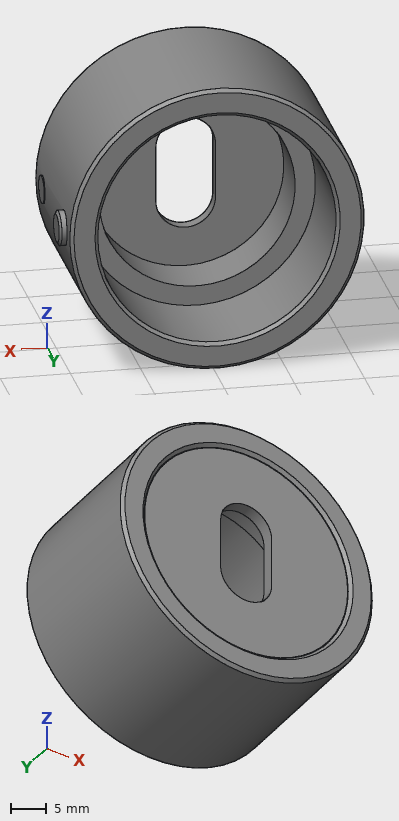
import cadquery as cq

housing_diameter = 42.0
housing_length = 25.0
housing_chamfer = 0.5
bore_diameter = 34.0

plug_clearance = 0.1
plug_recess = 0.5
plug_length = 10.0
plug_face_thickness = 2.0
plug_inner_diameter = 28.0
slot_width = 8.5
slot_height = 16.5

radial_hole_spacing = 15.0
button_diameter = 5.0
button_reach = 22.0
button_chamfer_depth = 0.3
button_chamfer_width = 0.5
screw_diameter = 4.0
screw_protrusion = 0.1

housing_front_y = -housing_length / 2
plug_front_y = housing_front_y + plug_recess
plug_diameter = bore_diameter - 2 * plug_clearance
button_y = radial_hole_spacing / 2
screw_y = -radial_hole_spacing / 2
screw_reach = housing_diameter / 2 + screw_protrusion


def cylinder_along_y(diameter, start_y, length):
    """Cylinder on the Y axis, running toward +Y from start_y."""
    plane = cq.Plane(origin=(0, start_y, 0), xDir=(1, 0, 0), normal=(0, 1, 0))
    return cq.Workplane(plane).circle(diameter / 2).extrude(length)


def radial_cylinder(diameter, y, inner_x, outer_x):
    """Cylinder parallel to X at the given y, between two X positions."""
    plane = cq.Plane(origin=(inner_x, y, 0), xDir=(0, 0, 1), normal=(1, 0, 0))
    return cq.Workplane(plane).circle(diameter / 2).extrude(outer_x - inner_x)


def make_housing():
    tube = cylinder_along_y(housing_diameter, housing_front_y, housing_length)
    tube = tube.cut(cylinder_along_y(bore_diameter, housing_front_y, housing_length))
    tube = tube.faces("<Y or >Y").chamfer(housing_chamfer)
    button_hole = radial_cylinder(button_diameter, button_y, 0, housing_diameter)
    screw_hole = radial_cylinder(screw_diameter, screw_y, 0, housing_diameter)
    return tube.cut(button_hole).cut(screw_hole)


def make_plug():
    cup = cylinder_along_y(plug_diameter, plug_front_y, plug_length)
    cavity = cylinder_along_y(plug_inner_diameter, plug_front_y + plug_face_thickness, plug_length)
    slot = cq.Workplane("XZ").slot2D(slot_height, slot_width, 90).extrude(-plug_front_y)
    return cup.cut(cavity).cut(slot)


def make_button():
    """Chamfered button whose inner end follows the bore surface."""
    button = radial_cylinder(button_diameter, button_y, 0, button_reach)
    button = button.faces(">X").chamfer(button_chamfer_depth, button_chamfer_width)
    return button.cut(cylinder_along_y(bore_diameter, housing_front_y, housing_length))


def make_set_screw():
    """Flat-topped screw whose inner end bears on the plug."""
    screw = radial_cylinder(screw_diameter, screw_y, 0, screw_reach)
    return screw.cut(cylinder_along_y(plug_diameter, plug_front_y, plug_length))


housing = make_housing()
plug = make_plug()
button = make_button()
set_screw = make_set_screw()

result = cq.Compound.makeCompound([housing.val(), plug.val(), button.val(), set_screw.val()])